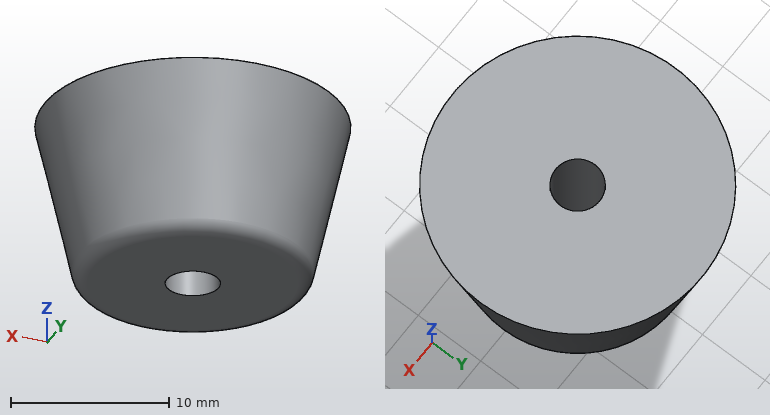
import cadquery as cq

height = 11.0
top_diameter = 20.0
base_diameter = 15.0
base_edge_radius = 1.0
hole_diameter = 3.5


def tapered_body():
    """Solid cone frustum, wide end up, with its lower edge rounded."""
    half_section = (
        cq.Workplane("XZ")
        .lineTo(base_diameter / 2, 0)
        .lineTo(top_diameter / 2, height)
        .lineTo(0, height)
        .close()
    )
    frustum = half_section.revolve(360, (0, 0, 0), (0, 1, 0))
    return frustum.faces("<Z").edges().fillet(base_edge_radius)


def screw_hole():
    """Cylinder that cuts the hole through the full height."""
    return cq.Workplane("XY").circle(hole_diameter / 2).extrude(height)


result = tapered_body().cut(screw_hole())